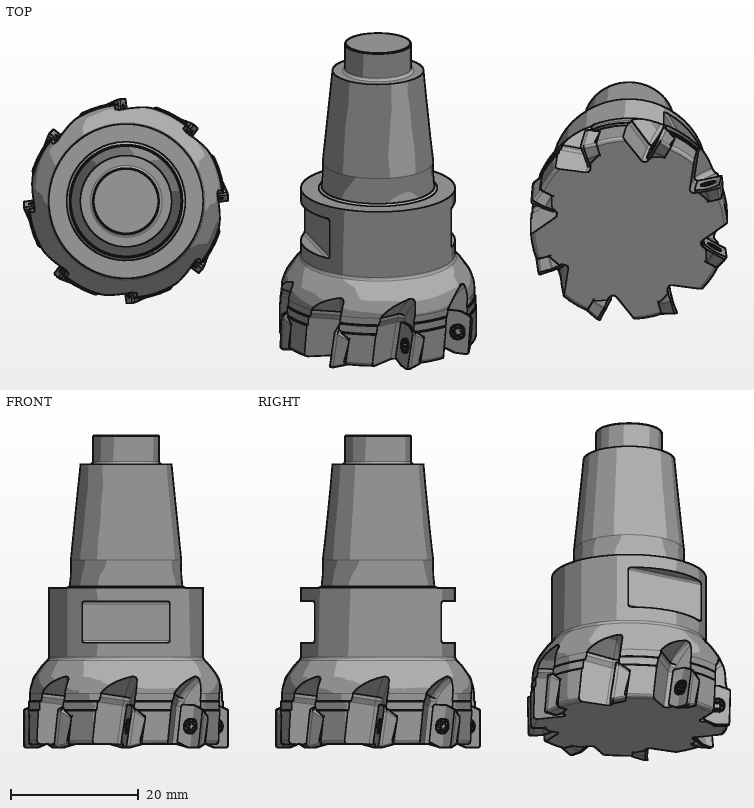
import cadquery as cq
import math

total_height = 49.0
stud_radius = 10.4 / 2
stud_chamfer = 0.15
stud_fillet = 0.45
shoulder_z = 44.45

taper_top_radius = 7.15
taper_bottom_radius = 8.65
taper_bottom_z = 29.5
neck_waist_radius = 8.65
neck_base_radius = 8.85
neck_base_flare = 0.3
flare_radius = 9.3

collar_radius = 24.2 / 2
collar_top_z = 25.1
collar_bottom_z = 14.3
collar_fillet = 0.75

flat_distance = 9.95
flat_bottom_z = 16.45
flat_top_z = 23.0
flat_fillet = 0.4

head_radius = 15.15
head_round_bottom_z = 8.55
upper_step_z = 7.35
lower_step_z = 5.95
step_height = 0.15
head_bottom_z = 0.6
head_bottom_fillet = 0.6

tooth_count = 8
cutting_radius = 32.05 / 2
radial_rake = 13.0
axial_rake = 8.5
edge_x = 0.55
edge_z = 3.4

insert_width = 4.0
insert_height = 6.7
insert_flat = 2.25
insert_corner_drop = 0.7
insert_corner_radius = 0.4
insert_land = 0.5
insert_thickness = 2.4
insert_side_relief = 10.0
insert_end_relief = 22.0
rake_face_hollow = 0.15
screw_recess_diameter = 2.4
screw_head_diameter = 2.05
screw_recess_depth = 0.45
socket_diameter = 1.55
socket_lobes = 6
socket_lobe_radius = 0.2
socket_depth = 0.9

gullet_wall_setback = 0.45
gullet_depth = 5.05
gullet_floor_angle = 37.0
gullet_floor_length = 8.8
gullet_wall_overrun = 2.95
gullet_fillet = 0.7
ledge_foot = (0, 3.1)
ledge_top = (0.2, 3.9)
runout_start = (0.2, 4.45)
runout_middle = (1.2, 6.15)
runout_end = (4.65, 9.2)
gullet_reach = 9.8

length_tolerance = 0.05

rake_cos = math.cos(math.radians(radial_rake))
rake_sin = math.sin(math.radians(radial_rake))
edge_point = cq.Vector(edge_x, -cutting_radius, edge_z)
outward = cq.Vector(rake_sin, -rake_cos, 0)
rake_normal = cq.Vector(-rake_cos, -rake_sin, 0)


def tilt(tooth_part):
    """Lean a part of the tooth by the axial rake, about the middle of its cutting edge."""
    pivot_end = edge_point + cq.Vector(0, 0.5, 0)
    return tooth_part.rotate(edge_point.toTuple(), pivot_end.toTuple(), axial_rake)


def around_axis(tooth_part):
    """One copy of a part of the tooth for each tooth."""
    step = 360 / tooth_count
    return [tooth_part.rotate((0, 0, 0), (0, 0, 1), i * step) for i in range(tooth_count)]


def make_turned_body():
    """Stud, taper, collar and rounded head, turned about Z."""
    diagonal = math.cos(math.radians(45))
    collar_arc_r = collar_radius + collar_fillet * (1 - diagonal)
    collar_arc_z = collar_bottom_z - collar_fillet * diagonal
    head_round = [
        (collar_arc_r, collar_arc_z),
        (head_radius, collar_arc_z - (head_radius - collar_arc_r)),
        (head_radius, head_round_bottom_z),
    ]
    band_radius = head_radius + step_height
    land_radius = band_radius + step_height

    profile = (
        cq.Workplane("XZ")
        .moveTo(0, head_bottom_z)
        .lineTo(land_radius - head_bottom_fillet, head_bottom_z)
        .tangentArcPoint((land_radius, head_bottom_z + head_bottom_fillet), relative=False)
        .lineTo(land_radius, lower_step_z - step_height / 2)
        .lineTo(band_radius, lower_step_z + step_height / 2)
        .lineTo(band_radius, upper_step_z - step_height / 2)
        .lineTo(head_radius, upper_step_z + step_height / 2)
        .lineTo(head_radius, head_round_bottom_z)
        .bezier(head_round[:0:-1] + head_round[:1])
        .tangentArcPoint((collar_radius, collar_bottom_z), relative=False)
        .lineTo(collar_radius, collar_top_z)
        .lineTo(flare_radius, collar_top_z)
        .lineTo(neck_base_radius, collar_top_z + neck_base_flare)
        .threePointArc(
            (neck_waist_radius, (collar_top_z + taper_bottom_z) / 2),
            (taper_bottom_radius, taper_bottom_z),
        )
        .lineTo(taper_top_radius, shoulder_z)
        .lineTo(stud_radius + stud_fillet, shoulder_z)
        .tangentArcPoint((stud_radius, shoulder_z + stud_fillet), relative=False)
        .lineTo(stud_radius, total_height - stud_chamfer)
        .lineTo(stud_radius - stud_chamfer, total_height)
        .lineTo(0, total_height)
        .close()
    )
    return profile.revolve(360, (0, 0, 0), (0, 1, 0))


def make_wrench_flat(side):
    """Cutter for the wrench flat on the -Y (side = -1) or +Y (side = 1) face of the collar."""
    depth = collar_radius
    height = flat_top_z - flat_bottom_z
    cutter = cq.Workplane("XY").box(2 * collar_radius, depth, height)
    cutter = cutter.faces("<Y" if side > 0 else ">Y").edges("|X").fillet(flat_fillet)
    return cutter.translate((0, side * (flat_distance + depth / 2), (flat_bottom_z + flat_top_z) / 2))


def is_gullet_root(point, wall_foot):
    """Whether a point of the gullet wall is on its inner side, between the cutter's two ends."""
    rise = point.z - edge_z
    inward = (point - wall_foot).dot(outward) < 0
    return inward and -gullet_reach < rise - length_tolerance and rise + length_tolerance < runout_end[1]


def make_gullet():
    """Cutter for the chip gullet in front of the -Y tooth: a V with a rounded run-out at its top."""
    wall_foot = edge_point - rake_normal * gullet_wall_setback
    corner = wall_foot - outward * gullet_depth
    wall_end = wall_foot + outward * gullet_wall_overrun
    floor_angle = math.radians(gullet_floor_angle)
    along_floor = cq.Vector(-math.cos(floor_angle), -math.sin(floor_angle), 0)
    off_floor = cq.Vector(math.sin(floor_angle), -math.cos(floor_angle), 0)
    floor_end = corner + along_floor * gullet_floor_length

    trough = (
        cq.Workplane("XY", origin=(0, 0, edge_z))
        .polyline([(p.x, p.y) for p in (corner, floor_end, wall_end)])
        .close()
        .extrude(gullet_reach, both=True)
    )
    runout = (
        cq.Workplane(cq.Plane(corner, xDir=off_floor, normal=along_floor))
        .moveTo(0, -gullet_reach)
        .lineTo(*ledge_foot)
        .lineTo(*ledge_top)
        .lineTo(*runout_start)
        .threePointArc(runout_middle, runout_end)
        .lineTo(2 * gullet_reach, runout_end[1])
        .lineTo(2 * gullet_reach, -gullet_reach)
        .close()
        .extrude(gullet_floor_length, both=True)
    )
    cutter = trough.intersect(runout)
    wall_edges = cutter.faces(cq.selectors.NearestToPointSelector(wall_foot.toTuple())).edges()
    root_edges = wall_edges.filter(lambda edge: is_gullet_root(edge.Center(), wall_foot))
    cutter = cutter.newObject(root_edges.vals()).fillet(gullet_fillet)
    return tilt(cutter)


def insert_outline(side_inset, end_inset):
    """Insert outline, point-symmetric about its middle, seen on the rake face from the cutting edge."""
    top = insert_height / 2 - end_inset
    outer = -side_inset
    inner = side_inset - insert_width
    shoulder = top - insert_corner_drop
    corners = [
        (outer, -top),
        (outer, shoulder),
        (insert_flat - insert_width, top),
        (inner, top),
        (inner, -shoulder),
        (-insert_flat, -top),
    ]
    return cq.Sketch().polygon(corners + corners[:1]).vertices().fillet(insert_corner_radius)


def make_insert_blank():
    """Insert plate of the -Y tooth without its screw: an upright land, then a relieved flank."""
    relieved = insert_thickness - insert_land
    side_inset = relieved * math.tan(math.radians(insert_side_relief))
    end_inset = relieved * math.tan(math.radians(insert_end_relief))
    front = insert_outline(0, 0)
    back = insert_outline(side_inset, end_inset).moved(cq.Location(cq.Vector(0, 0, -relieved)))
    face = cq.Workplane(cq.Plane(edge_point, xDir=outward, normal=rake_normal))
    land = face.placeSketch(front).extrude(-insert_land)
    flank = face.workplane(offset=-insert_land).placeSketch(front, back).loft()

    hollow_radius = (insert_width**2 / 4 + rake_face_hollow**2) / (2 * rake_face_hollow)
    hollow_centre = (
        edge_point - outward * (insert_width / 2) + rake_normal * (hollow_radius - rake_face_hollow)
    )
    hollow = cq.Workplane("XY", origin=hollow_centre.toTuple()).circle(hollow_radius)
    return tilt(land.union(flank).cut(hollow.extrude(insert_height, both=True)))


def make_screw_recess():
    """Cutter for the ring around the screw head and the lobed socket in it."""
    face = cq.Workplane(cq.Plane(edge_point, xDir=outward, normal=rake_normal)).center(-insert_width / 2, 0)
    ring = (
        face.circle(screw_recess_diameter / 2)
        .circle(screw_head_diameter / 2)
        .extrude(-screw_recess_depth)
    )
    lobe_circle = socket_diameter / 2 - socket_lobe_radius
    socket = face.circle(lobe_circle).extrude(-socket_depth)
    lobe_centres = face.polarArray(lobe_circle, 0, 360, socket_lobes)
    lobes = lobe_centres.circle(socket_lobe_radius).extrude(-socket_depth)
    return tilt(ring.union(socket).union(lobes))


def make_body(insert_blank):
    """Cutter body: turned shape with wrench flats, gullets and seats that fit the inserts."""
    body = make_turned_body()
    for side in (-1, 1):
        body = body.cut(make_wrench_flat(side))
    for gullet in around_axis(make_gullet()):
        body = body.cut(gullet)
    for seat in around_axis(insert_blank):
        body = body.cut(seat)
    return body


insert_blank = make_insert_blank()
body = make_body(insert_blank)
inserts = around_axis(insert_blank.cut(make_screw_recess()))
result = cq.Compound.makeCompound([body.solids().val(), *(insert.solids().val() for insert in inserts)])